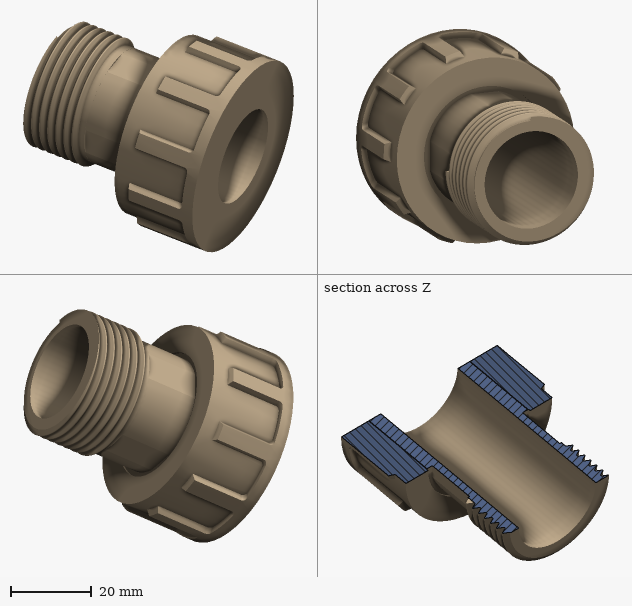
import cadquery as cq
import math

TOTAL_LENGTH = 53.1
BORE_DIAMETER = 24.9

CORE_DIAMETER = 30.3
CORE_LENGTH = 16.5
NECK_DIAMETER = 30.25
NECK_FLAT_SPACING = 29.3

THREAD_DIAMETER = 33.5
THREAD_LENGTH = 15.55
THREAD_TURNS = 6.75
THREAD_PITCH = THREAD_LENGTH / THREAD_TURNS
THREAD_START_X = -0.505
THREAD_CREST_RADIUS = 0.24
THREAD_INCLUDED_ANGLE = 55.0
THREAD_ROOT_EMBED = 0.15

COLLAR_DIAMETER = 32.9
COLLAR_RECESS = 0.65

NUT_START_X = 30.05
NUT_BODY_DIAMETER = 47.4
RIM_DIAMETER = 50.5
RIM_START_X = 50.05

RIB_COUNT = 10
RIB_PHASE = 2.3
RIB_BASE_START_X = 34.25
RIB_TOP_START_X = 34.9
RIB_BASE_WIDTH = 5.05
RIB_TOP_WIDTH = 4.0
RIB_CORNER_RADIUS = 1.05
RIB_EMBED = 1.05

OVERLAP = 0.55


def cylinder(diameter, start_x, end_x):
    """Solid cylinder along X between two stations."""
    return cq.Workplane("YZ", origin=(start_x, 0, 0)).circle(diameter / 2).extrude(end_x - start_x)


def make_thread():
    """Helical ridge that starts at +Z and runs towards -Y, trimmed level with x = 0."""
    crest_radius = THREAD_DIAMETER / 2
    root_radius = CORE_DIAMETER / 2 - THREAD_ROOT_EMBED
    flank_angle = math.radians(THREAD_INCLUDED_ANGLE / 2)
    crest_half = THREAD_CREST_RADIUS * math.cos(flank_angle)
    shoulder_radius = crest_radius - THREAD_CREST_RADIUS * (1 - math.sin(flank_angle))
    root_half = crest_half + (shoulder_radius - root_radius) * math.tan(flank_angle)

    start_plane = cq.Plane(origin=(THREAD_START_X, 0, 0), xDir=(0, 0, 1), normal=(1, 0, 0))
    helix = cq.Wire.makeHelix(THREAD_PITCH, THREAD_LENGTH, CORE_DIAMETER / 2)
    path = cq.Workplane(helix.moved(cq.Location(start_plane)))

    ridge = (
        cq.Workplane("XZ", origin=(THREAD_START_X, 0, 0))
        .moveTo(-root_half, root_radius)
        .lineTo(-crest_half, shoulder_radius)
        .threePointArc((0, crest_radius), (crest_half, shoulder_radius))
        .lineTo(root_half, root_radius)
        .close()
        .sweep(path, isFrenet=True)
    )
    overhang = cylinder(THREAD_DIAMETER + OVERLAP, THREAD_START_X - THREAD_PITCH, 0)
    return ridge.cut(overhang)


def make_neck(start_x, end_x):
    """Round neck with four flats, facing +Y, -Y, +Z and -Z."""
    flats = (
        cq.Workplane("YZ", origin=(start_x, 0, 0))
        .rect(NECK_FLAT_SPACING, NECK_FLAT_SPACING)
        .extrude(end_x - start_x)
    )
    return cylinder(NECK_DIAMETER, start_x, end_x).intersect(flats)


def make_spigot():
    """Threaded tube with a flatted neck and a collar inside the nut."""
    collar_start_x = NUT_START_X + COLLAR_RECESS
    tube = (
        cylinder(CORE_DIAMETER, 0, CORE_LENGTH)
        .union(make_neck(CORE_LENGTH, collar_start_x))
        .union(cylinder(COLLAR_DIAMETER, collar_start_x, TOTAL_LENGTH))
        .union(make_thread())
    )
    return tube.cut(cylinder(BORE_DIAMETER, -OVERLAP, TOTAL_LENGTH + OVERLAP))


def make_grip_blank():
    """Rim-diameter ring whose conical front slopes the rib ends; it reaches into the nut body."""
    body_radius = NUT_BODY_DIAMETER / 2
    rim_radius = RIM_DIAMETER / 2
    inner_radius = body_radius - RIB_EMBED
    end_slope = (RIB_TOP_START_X - RIB_BASE_START_X) / (rim_radius - body_radius)
    inner_start_x = RIB_BASE_START_X - RIB_EMBED * end_slope
    return (
        cq.Workplane("XY")
        .polyline([
            (inner_start_x, inner_radius),
            (RIB_TOP_START_X, rim_radius),
            (TOTAL_LENGTH, rim_radius),
            (TOTAL_LENGTH, inner_radius),
        ])
        .close()
        .revolve(360, (0, 0, 0), (1, 0, 0))
    )


def point_at(radius, angle):
    """Point of the YZ plane at an angle in degrees from +Y towards +Z."""
    return (radius * math.cos(math.radians(angle)), radius * math.sin(math.radians(angle)))


def rib_width_at(radius):
    """Width of a rib, which narrows evenly from the nut body to the rim diameter."""
    rib_height = (RIM_DIAMETER - NUT_BODY_DIAMETER) / 2
    taper = (RIB_BASE_WIDTH - RIB_TOP_WIDTH) / rib_height
    return RIB_BASE_WIDTH - taper * (radius - NUT_BODY_DIAMETER / 2)


def make_pocket():
    """Space between two neighbouring ribs, centred on +Y, with rounded corners at the rim."""
    inner_radius = NUT_BODY_DIAMETER / 2 - RIB_EMBED - OVERLAP
    outer_radius = RIM_DIAMETER / 2 + OVERLAP
    half_spacing = 360 / RIB_COUNT / 2
    inner_angle = half_spacing - math.degrees(math.asin(rib_width_at(inner_radius) / 2 / inner_radius))
    outer_angle = half_spacing - math.degrees(math.asin(rib_width_at(outer_radius) / 2 / outer_radius))
    pocket = (
        cq.Workplane("YZ", origin=(NUT_START_X, 0, 0))
        .moveTo(*point_at(inner_radius, -inner_angle))
        .threePointArc(point_at(inner_radius, 0), point_at(inner_radius, inner_angle))
        .lineTo(*point_at(outer_radius, outer_angle))
        .threePointArc(point_at(outer_radius, 0), point_at(outer_radius, -outer_angle))
        .close()
        .extrude(RIM_START_X - NUT_START_X)
    )
    return pocket.faces(">X").edges("%LINE").fillet(RIB_CORNER_RADIUS)


def make_nut():
    """Union nut with evenly spaced grip ribs and a plain bore around the collar."""
    grip = make_grip_blank()
    pocket = make_pocket()
    for index in range(RIB_COUNT):
        angle = RIB_PHASE + (index + 0.5) * 360 / RIB_COUNT
        grip = grip.cut(pocket.rotate((0, 0, 0), (1, 0, 0), angle))
    body = cylinder(NUT_BODY_DIAMETER, NUT_START_X, TOTAL_LENGTH)
    bore = cylinder(COLLAR_DIAMETER, NUT_START_X, TOTAL_LENGTH)
    return body.cut(bore).union(grip)


spigot = make_spigot()
nut = make_nut()

result = cq.Compound.makeCompound([spigot.solids().val(), nut.solids().val()])